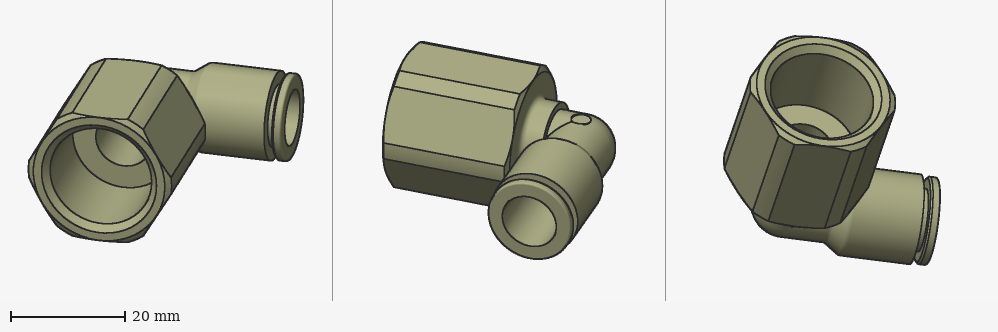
import cadquery as cq
import math


across_flats = 24
corner_radius = 13
nut_end = 32.7
nut_start = 8.95
edge_chamfer_height = 0.6
edge_chamfer_angle = 30

collar_radius = 7.28
collar_start = 4.85
collar_flare = 0.98

tube_radius = 6.05
recess_radius = 1.75
recess_floor = 5.77

cone_start = 7.8
cone_start_blend = 0.65
cone_end = 10.55
body_radius = 7.95
body_end = 23.2
cone_end_blend = 1.0
neck_radius = 5.55
flange_radius = 7.75
flange_start = 24.47
flange_end = 26.18
flange_chamfer = 0.35
flange_fillet = 0.35

passage_radius = 5.05
bore_radius = 9.23
bore_depth = 16.25
mouth_radius = 10.45
mouth_depth = mouth_radius - bore_radius


def rod_x(radius, start, end):
    return cq.Workplane("YZ").workplane(offset=start).circle(radius).extrude(end - start)


def rod_y(radius, start, end):
    """Cylinder along -Y between two distances from the origin."""
    return cq.Workplane("XZ").workplane(offset=start).circle(radius).extrude(end - start)


def elbow(radius, outlet_length, nut_length):
    """Two round arms with a ball at their corner."""
    ball = cq.Workplane("XY").sphere(radius)
    return ball.union(rod_x(radius, 0, outlet_length)).union(rod_y(radius, 0, nut_length))


def make_nut():
    length = nut_end - nut_start
    hexagon_diameter = across_flats / math.cos(math.pi / 6)
    hexagon = (
        cq.Workplane("XZ").workplane(offset=nut_start)
        .polygon(6, hexagon_diameter).extrude(length)
    )
    chamfer_width = edge_chamfer_height / math.tan(math.radians(edge_chamfer_angle))
    blank = rod_y(corner_radius, nut_start, nut_end)
    blank = blank.faces("<Y").chamfer(edge_chamfer_height, chamfer_width)
    blank = blank.faces(">Y").chamfer(edge_chamfer_height, chamfer_width)
    return hexagon.intersect(blank)


def make_collar():
    flare_start = nut_start - collar_flare
    profile = (
        cq.Workplane("XY")
        .moveTo(0, -collar_start)
        .lineTo(collar_radius, -collar_start)
        .lineTo(collar_radius, -flare_start)
        .radiusArc((collar_radius + collar_flare, -nut_start), -collar_flare)
        .lineTo(0, -nut_start)
        .close()
    )
    return profile.revolve(360, (0, 0, 0), (0, 1, 0))


def blend_circle(body, position, radius):
    """Fillet the circular edge lying at the given X position."""
    def at_position(edge):
        return math.isclose(edge.Center().x, position, abs_tol=0.005)

    return body.edges("%CIRCLE").filter(at_position).fillet(radius)


def make_outlet():
    body = (
        cq.Workplane("XY")
        .lineTo(0, tube_radius)
        .lineTo(cone_start, tube_radius)
        .lineTo(cone_end, body_radius)
        .lineTo(body_end, body_radius)
        .lineTo(body_end, 0)
        .close()
        .revolve(360, (0, 0, 0), (1, 0, 0))
    )
    body = blend_circle(body, cone_start, cone_start_blend)
    body = blend_circle(body, cone_end, cone_end_blend)
    neck = rod_x(neck_radius, body_end, flange_start)
    flange = rod_x(flange_radius, flange_start, flange_end)
    flange = flange.faces("<X").chamfer(flange_chamfer).faces(">X").fillet(flange_fillet)
    return body.union(neck).union(flange)


def make_recess():
    return cq.Workplane("XY").workplane(offset=recess_floor).circle(recess_radius).extrude(tube_radius)


def make_nut_bore():
    bore_floor = nut_end - bore_depth
    profile = (
        cq.Workplane("XY")
        .moveTo(0, -bore_floor)
        .lineTo(bore_radius, -bore_floor)
        .lineTo(bore_radius, -(nut_end - mouth_depth))
        .lineTo(mouth_radius, -nut_end)
        .lineTo(0, -nut_end)
        .close()
    )
    return profile.revolve(360, (0, 0, 0), (0, 1, 0))


solid_parts = (make_nut(), make_collar(), make_outlet())
cavities = (elbow(passage_radius, flange_end, nut_end), make_nut_bore(), make_recess())

result = elbow(tube_radius, cone_start, nut_start)
for part in solid_parts:
    result = result.union(part)
for cavity in cavities:
    result = result.cut(cavity)